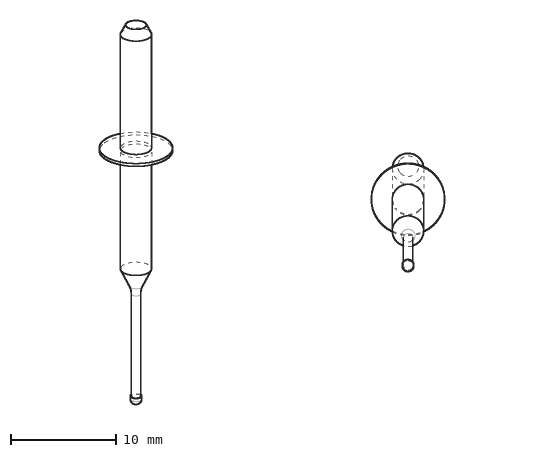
import cadquery as cq
import math

total_length = 40.0
shank_diameter = 3.0
shank_radius = shank_diameter / 2
shank_bottom = 14.3
top_chamfer_height = 1.0
top_face_radius = 1.0

neck_diameter = 0.9
neck_radius = neck_diameter / 2
neck_top = 11.65
blend_radius = 2.0

tip_radius = 0.55
tip_band_height = 0.3
tip_top = tip_radius + tip_band_height

collar_diameter = 7.0
collar_radius = collar_diameter / 2
collar_thickness = 0.3
collar_top = 27.05

blend_centre_radius = neck_radius + blend_radius
centre_offset = blend_centre_radius - shank_radius
centre_drop = shank_bottom - neck_top
centre_distance = math.hypot(centre_offset, centre_drop)
cone_angle = math.atan2(centre_drop, centre_offset) - math.acos(blend_radius / centre_distance)


def blend_point(angle):
    """Point on the blend arc, at an angle measured upward from the top of the neck."""
    return (
        blend_centre_radius - blend_radius * math.cos(angle),
        neck_top + blend_radius * math.sin(angle),
    )


def make_tool():
    """Revolve the half profile of tip, neck, cone and shank about Z."""
    tip_mid = tip_radius * math.sqrt(0.5)
    return (
        cq.Workplane("XZ")
        .moveTo(0, 0)
        .threePointArc((tip_mid, tip_radius - tip_mid), (tip_radius, tip_radius))
        .lineTo(tip_radius, tip_top)
        .lineTo(neck_radius, tip_top)
        .lineTo(neck_radius, neck_top)
        .threePointArc(blend_point(cone_angle / 2), blend_point(cone_angle))
        .lineTo(shank_radius, shank_bottom)
        .lineTo(shank_radius, total_length - top_chamfer_height)
        .lineTo(top_face_radius, total_length)
        .lineTo(0, total_length)
        .close()
        .revolve(360, (0, 0, 0), (0, 1, 0))
    )


def make_collar():
    """Flat ring that fits closely around the shank."""
    return (
        cq.Workplane("XY")
        .workplane(offset=collar_top - collar_thickness)
        .circle(collar_radius)
        .circle(shank_radius)
        .extrude(collar_thickness)
    )


tool = make_tool()
collar = make_collar()
result = cq.Compound.makeCompound([tool.val(), collar.val()])